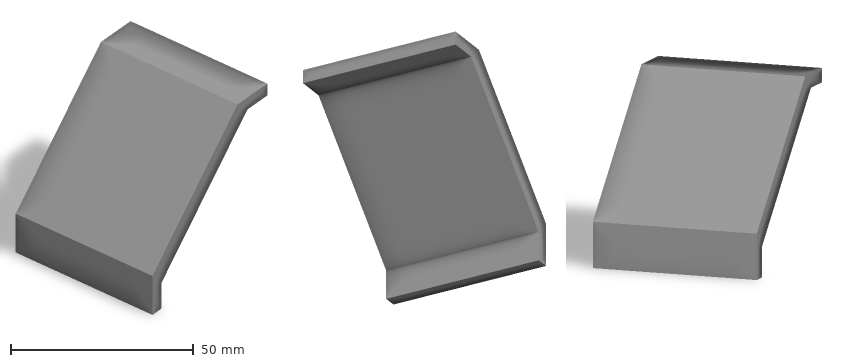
import cadquery as cq

width = 48.0
side = 50.0

flange_thickness = 4.0
outer_flange_length = 12.9
inner_flange_length = 8.6

half_width = width / 2
half_side = side / 2
inner_face = half_side - flange_thickness
outer_bend = half_side - outer_flange_length
inner_bend = half_side - inner_flange_length

section = [
    (half_side, half_side),
    (outer_bend, half_side),
    (-half_side, -outer_bend),
    (-half_side, -half_side),
    (-inner_face, -half_side),
    (-inner_face, -inner_bend),
    (inner_bend, inner_face),
    (half_side, inner_face),
]

result = (
    cq.Workplane("YZ")
    .workplane(offset=-half_width)
    .polyline(section)
    .close()
    .extrude(width)
)